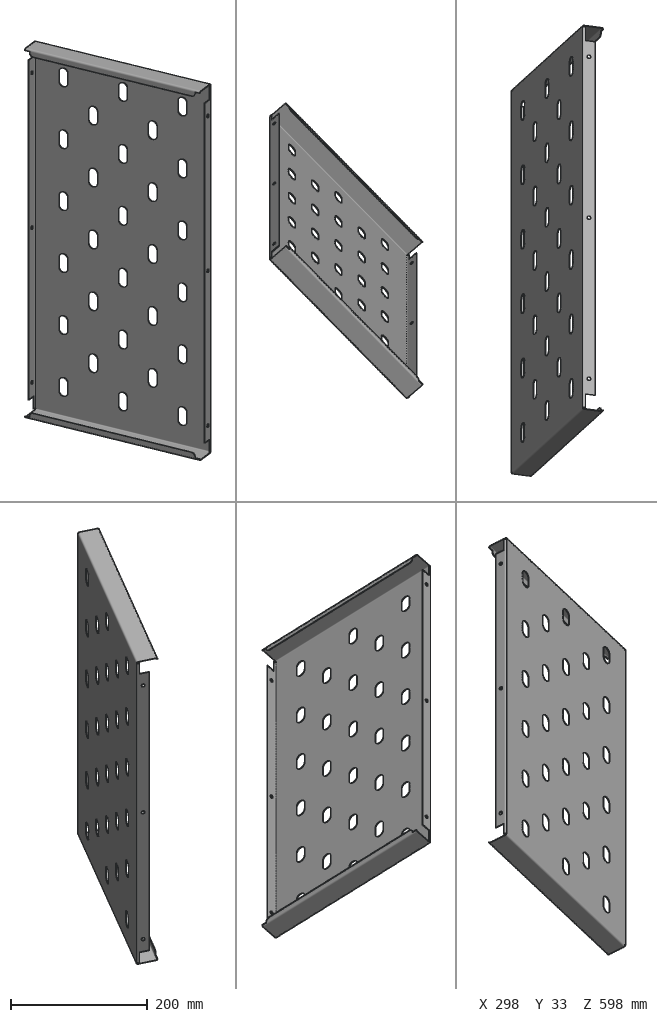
import cadquery as cq

width = 298.0
depth = 33.0
height = 598.0

sheet = 1.5
inner_radius = 1.5
outer_radius = inner_radius + sheet

end_flange_width = width - 2 * sheet
lip_height = 11.0
lip_end_gap = 9.5
lip_corner_radius = 6.0

side_flange_depth = 20.0
side_flange_end_gap = 24.0
stub_depth = 5.0
stub_end_gap = 3.0

slot_length = 30.0
slot_width = 15.0
wide_row_count = 6
wide_row_slots = 3
slot_row_span = 501.0
slot_pitch = slot_row_span / (wide_row_count - 1)

side_hole_diameter = 5.5
side_hole_span = slot_row_span
side_hole_setback = 10.0

back = depth / 2
front = -depth / 2


def centred_box(x_size, y_min, y_max, z_size):
    """Box centred on X and Z, running from y_min to y_max."""
    return cq.Workplane("XY").box(x_size, y_max - y_min, z_size).translate((0, (y_min + y_max) / 2, 0))


def end_channel():
    """Panel with its end flanges and lips, bent round the X direction."""
    outer = centred_box(end_flange_width, front, back, height).edges("|X").fillet(outer_radius)
    inner = centred_box(width, front + sheet, back - sheet, height - 2 * sheet)
    inner = inner.edges("|X").fillet(inner_radius)
    opening = centred_box(width, front, front + outer_radius, height - 2 * lip_height)
    return outer.cut(inner).cut(opening)


def side_channel():
    """Panel with its side flanges, bent round the Z direction."""
    flange_front = back - side_flange_depth
    channel_height = height - 2 * stub_end_gap
    outer = centred_box(width, flange_front, back, channel_height).edges("|Z and >Y").fillet(outer_radius)
    inner = centred_box(width - 2 * sheet, flange_front, back - sheet, height)
    inner = inner.edges("|Z and >Y").fillet(inner_radius)
    return outer.cut(inner)


def mirrored_box(x_min, x_max, y_min, y_max, z_min, z_max):
    """Four copies of a box, mirrored to both sides in X and both ends in Z."""
    quarter = cq.Workplane("XY").box(x_max - x_min, y_max - y_min, z_max - z_min)
    quarter = quarter.translate(((x_min + x_max) / 2, (y_min + y_max) / 2, (z_min + z_max) / 2))
    half = quarter.union(quarter.mirror("YZ"))
    return half.union(half.mirror("XY"))


def lip_end_notches():
    """Clearance at the ends of the lips, beyond their bends."""
    lip_half_length = width / 2 - lip_end_gap
    return mirrored_box(
        lip_half_length, width, front, front + outer_radius, 0, height / 2 - outer_radius
    )


def lips_rounded(body):
    """Round the inner corners at the ends of both lips."""
    lip_edge = height / 2 - lip_height
    tolerance = 0.5
    for z in (-lip_edge, lip_edge):
        selection = cq.selectors.BoxSelector(
            (-width, front - tolerance, z - tolerance),
            (width, front + sheet + tolerance, z + tolerance),
        )
        body = body.edges(selection).edges("|Y").fillet(lip_corner_radius)
    return body


def side_flange_notches():
    """Clearance at the ends of the side flanges, leaving a low stub at the bend."""
    return mirrored_box(
        0, width, front, back - stub_depth, height / 2 - side_flange_end_gap, height
    )


def panel_slots():
    """Wide rows of slots, with rows of one slot fewer midway between them."""
    wide_rows = cq.Workplane("XZ").rarray(slot_pitch, slot_pitch, wide_row_slots, wide_row_count)
    narrow_rows = cq.Workplane("XZ").rarray(slot_pitch, slot_pitch, wide_row_slots - 1, wide_row_count - 1)
    wide_slots = wide_rows.slot2D(slot_length, slot_width, 90).extrude(depth, both=True)
    narrow_slots = narrow_rows.slot2D(slot_length, slot_width, 90).extrude(depth, both=True)
    return wide_slots.union(narrow_slots)


def side_holes():
    """Three holes along each side flange, running across the whole tray."""
    places = [(back - side_hole_setback, z * side_hole_span / 2) for z in (-1, 0, 1)]
    return cq.Workplane("YZ").pushPoints(places).circle(side_hole_diameter / 2).extrude(width, both=True)


ends = lips_rounded(end_channel().cut(lip_end_notches()))
sides = side_channel().cut(side_flange_notches())
result = ends.union(sides).cut(panel_slots()).cut(side_holes())